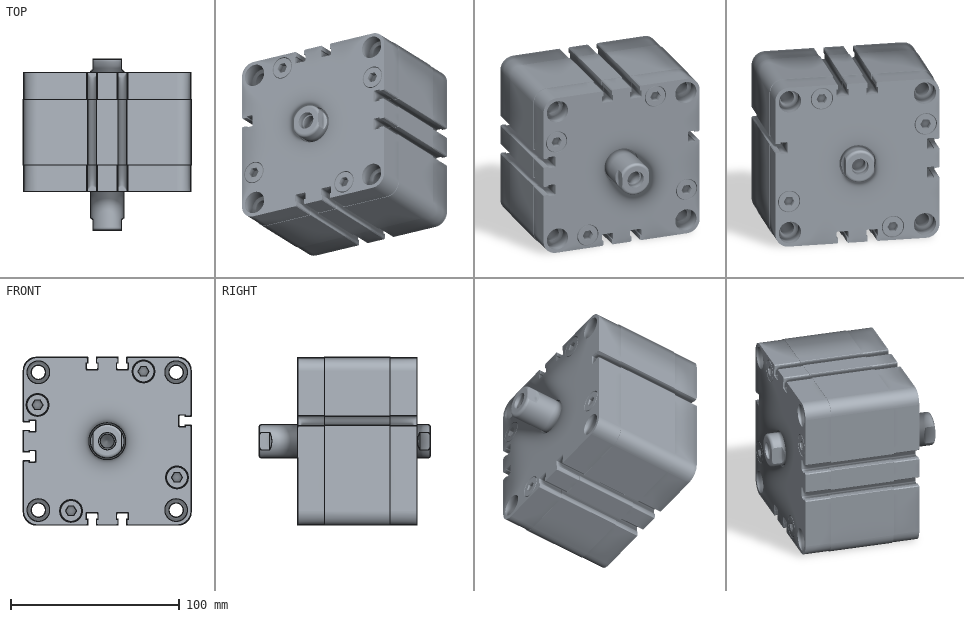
import cadquery as cq
import math


body_width = 100.0
half_width = body_width / 2
tube_length = 39.0
cap_length = 16.0
body_length = tube_length + 2 * cap_length
front_y = -body_length / 2
tube_corner_radius = 8.0
cap_inset = 0.22
cap_corner_radius = 8.0

slot_neck_width = 5.0
slot_base_width = 6.7
slot_neck_depth = 3.6
slot_depth = 7.4
slot_overcut = 1.0
slot_floor_radius = 0.7
cap_slot_chamfer = 0.5
tube_slot_chamfer = 0.2
slot_offset = 9.0
side_slot_offset = 12.15

rod_diameter = 20.0
front_rod_length = 23.0
rear_rod_length = 8.0
rod_end_fillet = 1.7
rod_across_flats = 17.0
rod_flat_length = 6.3
rod_runout_length = 1.3
rod_bore_diameter = 10.25
rod_bore_depth = 4.0
rod_core_diameter = 8.38
rod_core_depth = 20.0
drill_tip_angle = 118.0
rod_recess_diameter = 22.0
rod_recess_depth = 2.0

mount_pitch = 82.0
mount_hole_diameter = 8.38
mount_bore_diameter = 13.5
mount_bore_depth = 8.5

screw_count = 4
screw_radial = 41.5
screw_tangential = 21.57
screw_bore_diameter = 13.5
screw_head_diameter = 12.5
screw_gap_depth = 2.0
screw_hex_across_flats = 5.65
screw_hex_depth = 4.0


def plane_at(y):
    """Sketch plane at the given Y with local axes X and Z; extrudes toward -Y."""
    return cq.Workplane("XZ", origin=(0, y, 0))


def disc(diameter, start_y, length):
    """Cylinder along +Y from start_y, centred on the rod axis."""
    return plane_at(start_y).circle(diameter / 2).extrude(-length)


def slot_cutter(start_y, length, inset, edge_chamfer):
    """T slot opening at the +Z face, its walls set back by inset, with chamfered mouth edges."""
    neck = slot_neck_width / 2 + inset
    base = slot_base_width / 2 + inset
    face_z = half_width - inset
    shoulder_z = half_width - slot_neck_depth + inset
    floor_z = half_width - slot_depth - inset
    half_section = [
        (neck + edge_chamfer, half_width + slot_overcut),
        (neck + edge_chamfer, face_z),
        (neck, face_z - edge_chamfer),
        (neck, shoulder_z),
        (base, shoulder_z),
        (base, floor_z),
    ]
    mirrored = [(-x, z) for x, z in reversed(half_section)]
    section = plane_at(start_y).polyline(half_section + mirrored).close()
    return section.extrude(-length).edges("|Y and <Z").fillet(slot_floor_radius)


def body_section(start_y, length, inset, slot_chamfer, corner_radius):
    """Rounded square block with two slots on top, bottom and -X, and one on +X."""
    width = body_width - 2 * inset
    block = plane_at(start_y).rect(width, width).extrude(-length)
    block = block.edges("|Y").fillet(corner_radius)
    cutter = slot_cutter(start_y, length, inset, slot_chamfer)
    placements = [(0, slot_offset), (0, -slot_offset)]
    placements += [(180, slot_offset), (180, -slot_offset)]
    placements += [(-90, slot_offset), (-90, -slot_offset)]
    placements += [(90, -side_slot_offset)]
    for turn, offset in placements:
        slot = cutter.translate((offset, 0, 0)).rotate((0, 0, 0), (0, 1, 0), turn)
        block = block.cut(slot)
    return block


def corner_discs(diameter, start_y, length):
    """Cylinders along +Y from start_y at the four mounting hole positions."""
    corners = plane_at(start_y).rect(mount_pitch, mount_pitch, forConstruction=True).vertices()
    return corners.circle(diameter / 2).extrude(-length)


def cut_screws(cap):
    """Flush screw heads, a quarter turn apart: an annular gap round each head and a hexagon socket."""
    gap = disc(screw_bore_diameter, front_y, screw_gap_depth)
    gap = gap.cut(disc(screw_head_diameter, front_y, screw_gap_depth))
    hex_diameter = screw_hex_across_flats / math.cos(math.pi / 6)
    socket = plane_at(front_y).polygon(6, hex_diameter).extrude(-screw_hex_depth)
    x, z = screw_tangential, screw_radial
    for _ in range(screw_count):
        cap = cap.cut(gap.translate((x, 0, z))).cut(socket.translate((x, 0, z)))
        x, z = z, -x
    return cap


def make_cap():
    """Front end cap with its mounting counterbores, screws and rod recess."""
    cap = body_section(front_y, cap_length, cap_inset, cap_slot_chamfer, cap_corner_radius)
    cap = cap.cut(corner_discs(mount_bore_diameter, front_y, mount_bore_depth))
    cap = cut_screws(cap)
    return cap.cut(disc(rod_recess_diameter, front_y, rod_recess_depth))


def make_tube():
    """Middle profile between the caps."""
    return body_section(-tube_length / 2, tube_length, 0, tube_slot_chamfer, tube_corner_radius)


def rod_bore(tip_y):
    """Stepped blind bore with a conical drill tip, entering from the rod end at tip_y."""
    bore_radius = rod_bore_diameter / 2
    core_radius = rod_core_diameter / 2
    cone_height = core_radius / math.tan(math.radians(drill_tip_angle / 2))
    profile = cq.Workplane("XY").polyline([
        (0, tip_y),
        (bore_radius, tip_y),
        (bore_radius, tip_y + rod_bore_depth),
        (core_radius, tip_y + rod_bore_depth),
        (core_radius, tip_y + rod_core_depth),
        (0, tip_y + rod_core_depth + cone_height),
    ]).close()
    return profile.revolve(360, (0, 0, 0), (0, 1, 0))


def flat_cutter(tip_y):
    """Cutter for the wrench flat on the +X side, with a sloped run-out."""
    rod_radius = rod_diameter / 2
    flat_x = rod_across_flats / 2
    flat_end_y = tip_y + rod_flat_length
    profile = cq.Workplane("XY").polyline([
        (flat_x, tip_y),
        (rod_radius, tip_y),
        (rod_radius, flat_end_y + rod_runout_length),
        (flat_x, flat_end_y),
    ]).close()
    return profile.extrude(rod_radius, both=True)


def make_half_rod(rod_length):
    """Rod half from the middle of the body out to its -Y end."""
    tip_y = front_y - rod_length
    rod = disc(rod_diameter, tip_y, -tip_y).faces("<Y").edges().fillet(rod_end_fillet)
    flat = flat_cutter(tip_y)
    rod = rod.cut(flat).cut(flat.mirror("YZ"))
    return rod.cut(rod_bore(tip_y))


front_cap = make_cap()
rear_cap = front_cap.mirror("XZ")
front_rod = make_half_rod(front_rod_length)
rear_rod = make_half_rod(rear_rod_length).mirror("XZ")

mount_holes = corner_discs(mount_hole_diameter, front_y, body_length)
body = make_tube().union(front_cap).union(rear_cap).cut(mount_holes)

result = body.union(front_rod).union(rear_rod)